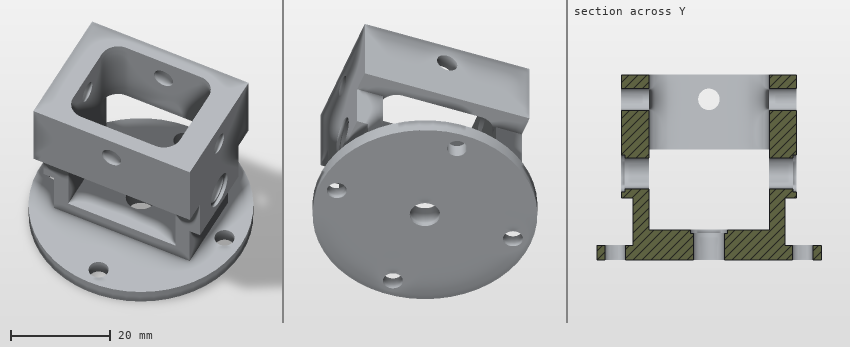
import cadquery as cq

flange_diameter = 45.0
flange_thickness = 3.0
flange_hole_count = 4
flange_hole_diameter = 4.0
flange_hole_circle_radius = 18.75

total_height = 37.1
frame_length = 35.1
frame_width = 26.0
frame_height = 15.0
frame_bottom = total_height - frame_height

opening_length = 24.0
opening_width = 20.0
opening_corner_radius = 3.65

yoke_width = 17.0
yoke_base_length = 30.5
shoulder_bottom = 12.4
floor_thickness = 3.1
floor_top = flange_thickness + floor_thickness

pin_hole_diameter = 4.3
pin_hole_drop = 5.0
pin_hole_height = total_height - pin_hole_drop

bore_diameter = 6.1
counterbore_diameter = 7.3
counterbore_depth = 0.7
leg_bore_height = 17.35


def block(length, width, bottom, top):
    """Box centred on the Z axis, spanning bottom to top."""
    return (
        cq.Workplane("XY")
        .workplane(offset=bottom)
        .rect(length, width)
        .extrude(top - bottom)
    )


def cylinder(diameter, start, direction, length):
    """Cylinder that runs from start along direction."""
    return cq.Workplane(
        cq.Solid.makeCylinder(diameter / 2, length, cq.Vector(*start), cq.Vector(*direction))
    )


def make_flange():
    """Disc with four holes on the X and Y axes."""
    return (
        cq.Workplane("XY")
        .circle(flange_diameter / 2)
        .extrude(flange_thickness)
        .faces(">Z")
        .workplane()
        .polarArray(flange_hole_circle_radius, 0, 360, flange_hole_count)
        .hole(flange_hole_diameter)
    )


def make_yoke():
    """U-shaped support with a floor and two shouldered legs."""
    base = block(yoke_base_length, yoke_width, flange_thickness, shoulder_bottom)
    shoulders = block(frame_length, yoke_width, shoulder_bottom, frame_bottom)
    window = block(opening_length, yoke_width, floor_top, frame_bottom)
    return base.union(shoulders).cut(window)


def make_frame():
    """Rectangular frame with a rounded opening through it."""
    opening = block(opening_length, opening_width, frame_bottom, total_height)
    opening = opening.edges("|Z").fillet(opening_corner_radius)
    return block(frame_length, frame_width, frame_bottom, total_height).cut(opening)


def cut_pin_holes(body):
    """Holes through all four frame walls, along X and along Y."""
    along_x = cylinder(pin_hole_diameter, (-frame_length / 2, 0, pin_hole_height), (1, 0, 0), frame_length)
    along_y = cylinder(pin_hole_diameter, (0, -frame_width / 2, pin_hole_height), (0, 1, 0), frame_width)
    return body.cut(along_x).cut(along_y)


def cut_bores(body):
    """Bores through floor and legs; counterbores on the floor top and outer leg faces."""
    leg_thickness = (frame_length - opening_length) / 2
    bores = [
        ((0, 0, floor_top), (0, 0, -1), floor_top),
        ((-frame_length / 2, 0, leg_bore_height), (1, 0, 0), leg_thickness),
        ((frame_length / 2, 0, leg_bore_height), (-1, 0, 0), leg_thickness),
    ]
    for start, direction, depth in bores:
        body = body.cut(cylinder(bore_diameter, start, direction, depth))
        body = body.cut(cylinder(counterbore_diameter, start, direction, counterbore_depth))
    return body


body = make_flange().union(make_yoke()).union(make_frame())
body = cut_pin_holes(body)
result = cut_bores(body)